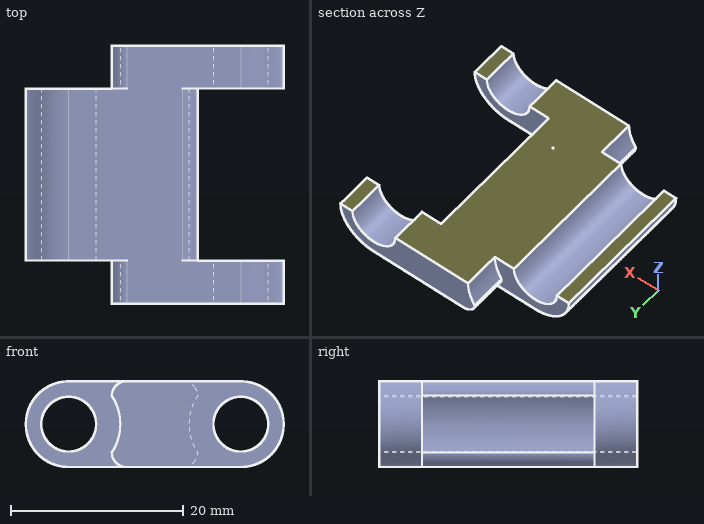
import cadquery as cq

pin_pitch = 20.0
link_height = 10.0
total_width = 30.0
barrel_width = 20.0
pin_hole_diameter = 6.35
clearance_radius = 6.0
relieved_end_reach = 5.0
lip_radius = 1.75

end_radius = link_height / 2
pin_x = pin_pitch / 2
ear_width = (total_width - barrel_width) / 2
ear_offset = (barrel_width + ear_width) / 2


def cylinder_along_y(x, y_start, radius, length):
    """Cylinder on an axis parallel to Y, running from y_start towards +Y."""
    return cq.Workplane("XZ", origin=(x, y_start, 0)).circle(radius).extrude(-length)


def link_plate(side, y_centre, width):
    """Plate with a rounded, drilled end towards side (+1 or -1 in X) and a relieved other end."""
    y_start = y_centre - width / 2
    body_length = pin_x + relieved_end_reach
    body_centre_x = side * (pin_x - relieved_end_reach) / 2
    relieved_face = "<X" if side > 0 else ">X"

    body = (
        cq.Workplane("XY")
        .box(body_length, width, link_height)
        .translate((body_centre_x, y_centre, 0))
        .faces(relieved_face)
        .edges("|Y")
        .fillet(lip_radius)
    )
    rounded_end = cylinder_along_y(side * pin_x, y_start, end_radius, width)
    pin_hole = cylinder_along_y(side * pin_x, y_start, pin_hole_diameter / 2, width)
    relief = cylinder_along_y(-side * pin_x, y_start, clearance_radius, width)
    return body.union(rounded_end).cut(pin_hole).cut(relief)


result = link_plate(-1, 0, barrel_width)
for y_side in (-1, 1):
    result = result.union(link_plate(1, y_side * ear_offset, ear_width))